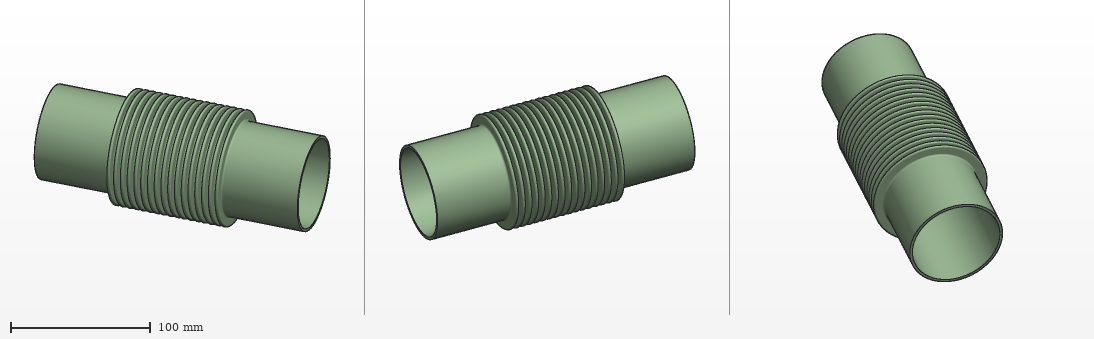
import cadquery as cq

total_length = 200.0
pipe_diameter = 70.0
bore_diameter = 66.0
crest_diameter = 85.5
bellows_length = 87.5
crest_count = 17
crest_round = 1.3

pitch = bellows_length / crest_count
root_round = pitch / 2 - crest_round
pipe_radius = pipe_diameter / 2
bore_radius = bore_diameter / 2
crest_radius = crest_diameter / 2
flank_bottom = pipe_radius + root_round
flank_top = crest_radius - crest_round
half_length = total_length / 2
bellows_start = -bellows_length / 2
diagonal = 0.5 ** 0.5


def add_convolution(profile, start):
    """Extend the outer profile by one rib: root fillet, rounded crest, root fillet."""
    center = start + pitch / 2
    end = start + pitch
    root_mid_radius = flank_bottom - root_round * diagonal
    return (
        profile
        .threePointArc(
            (start + root_round * diagonal, root_mid_radius),
            (center - crest_round, flank_bottom),
        )
        .lineTo(center - crest_round, flank_top)
        .threePointArc((center, crest_radius), (center + crest_round, flank_top))
        .lineTo(center + crest_round, flank_bottom)
        .threePointArc((end - root_round * diagonal, root_mid_radius), (end, pipe_radius))
    )


profile = (
    cq.Workplane("XY")
    .moveTo(-half_length, bore_radius)
    .lineTo(-half_length, pipe_radius)
    .lineTo(bellows_start, pipe_radius)
)
for index in range(crest_count):
    profile = add_convolution(profile, bellows_start + index * pitch)
profile = (
    profile
    .lineTo(half_length, pipe_radius)
    .lineTo(half_length, bore_radius)
    .close()
)

result = profile.revolve(360, (0, 0, 0), (1, 0, 0))